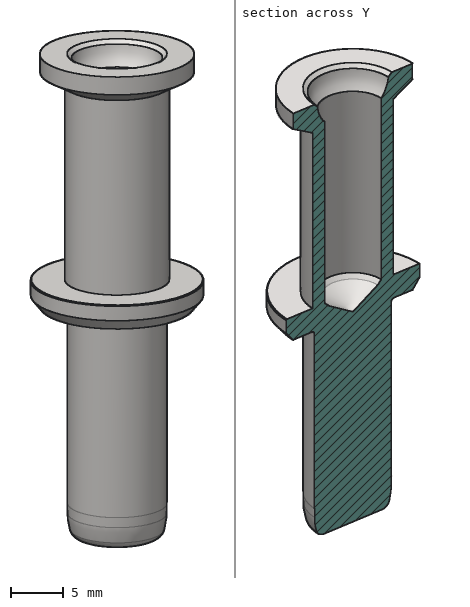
import cadquery as cq
import math

total_height = 48.1

head_radius = 7.35
head_rim_height = 1.8
head_height = 3.1
upper_shaft_radius = 5.0

collar_diameter = 16.5
collar_radius = collar_diameter / 2
collar_top = 25.6
collar_height = 2.65
collar_rim_height = 1.55
collar_bottom_radius = 7.35
collar_edge_chamfer = 0.1

lower_shaft_radius = 4.75
neck_fillet = 0.3
band_top = 3.3
band_bottom = 2.3
band_taper = 0.025
tip_shoulder_radius = 4.5
tip_shoulder_height = 0.7
tip_face_radius = 3.6
tip_bulge = 0.07
tip_edge_bulge = 0.2

mouth_radius = 4.75
mouth_chamfer_width = 0.45
mouth_chamfer_depth = 0.4
throat_depth = 2.4
bore_radius = 3.45
throat_bulge = 0.2
bore_depth = 22.5
bore_floor_chamfer = 0.45
drill_point_angle = 118.0


def bulged_midpoint(start, end, bulge):
    """Point beside the middle of a chord, offset to its right by the bulge."""
    dx = end[0] - start[0]
    dz = end[1] - start[1]
    chord = math.hypot(dx, dz)
    mid_x = (start[0] + end[0]) / 2
    mid_z = (start[1] + end[1]) / 2
    return (mid_x + bulge * dz / chord, mid_z - bulge * dx / chord)


def make_body():
    """Revolve the outside profile, from the tip up to the head."""
    tip_face = (tip_face_radius, 0)
    tip_shoulder = (tip_shoulder_radius, tip_shoulder_height)
    tip_start = (lower_shaft_radius - band_taper, band_bottom)
    collar_bottom = collar_top - collar_height
    fillet_middle = neck_fillet * (1 - math.sqrt(0.5))
    profile = (
        cq.Workplane("XZ")
        .moveTo(0, 0)
        .lineTo(*tip_face)
        .threePointArc(bulged_midpoint(tip_face, tip_shoulder, tip_edge_bulge), tip_shoulder)
        .threePointArc(bulged_midpoint(tip_shoulder, tip_start, tip_bulge), tip_start)
        .lineTo(lower_shaft_radius, band_top)
        .lineTo(lower_shaft_radius, collar_bottom - neck_fillet)
        .threePointArc(
            (lower_shaft_radius + fillet_middle, collar_bottom - fillet_middle),
            (lower_shaft_radius + neck_fillet, collar_bottom),
        )
        .lineTo(collar_bottom_radius, collar_bottom)
        .lineTo(collar_radius, collar_top - collar_rim_height)
        .lineTo(collar_radius, collar_top - collar_edge_chamfer)
        .lineTo(collar_radius - collar_edge_chamfer, collar_top)
        .lineTo(upper_shaft_radius, collar_top)
        .lineTo(upper_shaft_radius, total_height - head_height)
        .lineTo(head_radius, total_height - head_rim_height)
        .lineTo(head_radius, total_height)
        .lineTo(0, total_height)
        .close()
    )
    return profile.revolve(360, (0, 0), (0, 1))


def make_bore():
    """Revolve the bore: chamfered mouth, curved throat, straight wall and drill point."""
    throat_top = (mouth_radius - mouth_chamfer_width, total_height - mouth_chamfer_depth)
    throat_bottom = (bore_radius, total_height - throat_depth)
    floor_radius = bore_radius - bore_floor_chamfer
    wall_end = total_height - bore_depth
    floor_height = wall_end - bore_floor_chamfer
    point_depth = floor_radius / math.tan(math.radians(drill_point_angle / 2))
    profile = (
        cq.Workplane("XZ")
        .moveTo(0, total_height)
        .lineTo(mouth_radius, total_height)
        .lineTo(*throat_top)
        .threePointArc(bulged_midpoint(throat_bottom, throat_top, throat_bulge), throat_bottom)
        .lineTo(bore_radius, wall_end)
        .lineTo(floor_radius, floor_height)
        .lineTo(0, floor_height - point_depth)
        .close()
    )
    return profile.revolve(360, (0, 0), (0, 1))


result = make_body().cut(make_bore())